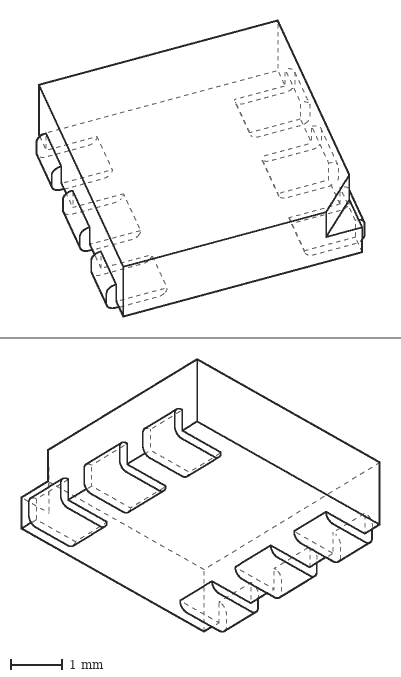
import cadquery as cq

overall_length = 5.35
overall_height = 1.7
lead_thickness = 0.2
body_side = 4.95
body_height = overall_height - lead_thickness

mark_leg = 0.75
mark_depth = body_height / 2

lead_height = 0.7
foot_length = 1.25
lead_round = 0.19
outer_lead_width = 0.9
middle_lead_width = 1.0
lead_pitch = 1.605


def make_body():
    """Square block with a triangular step at its +X, +Y top corner."""
    body = cq.Workplane("XY").workplane(offset=lead_thickness).rect(body_side, body_side).extrude(body_height)
    corner = body_side / 2
    mark = (
        cq.Workplane("XY")
        .workplane(offset=overall_height - mark_depth)
        .moveTo(corner, corner)
        .lineTo(corner - mark_leg, corner)
        .lineTo(corner, corner - mark_leg)
        .close()
        .extrude(mark_depth)
    )
    return body.cut(mark)


def make_lead(x_center, width):
    """L-shaped lead on the -Y side: a foot under the body and a wall up its face."""
    outer_y = -overall_length / 2
    face_y = -body_side / 2
    lead = (
        cq.Workplane("YZ")
        .workplane(offset=x_center - width / 2)
        .moveTo(outer_y, 0)
        .lineTo(outer_y + foot_length, 0)
        .lineTo(outer_y + foot_length, lead_thickness)
        .lineTo(face_y, lead_thickness)
        .lineTo(face_y, lead_height)
        .lineTo(outer_y, lead_height)
        .close()
        .extrude(width)
    )
    lead = lead.faces("<Y").edges("|X").fillet(lead_round)
    foot_tip = lead.faces(">Y").edges("|X and <Z")
    return foot_tip.fillet(lead_round)


result = make_body()
for x_center, width in (
    (-lead_pitch, outer_lead_width),
    (0, middle_lead_width),
    (lead_pitch, outer_lead_width),
):
    front_lead = make_lead(x_center, width)
    result = result.union(front_lead).union(front_lead.mirror("XZ"))